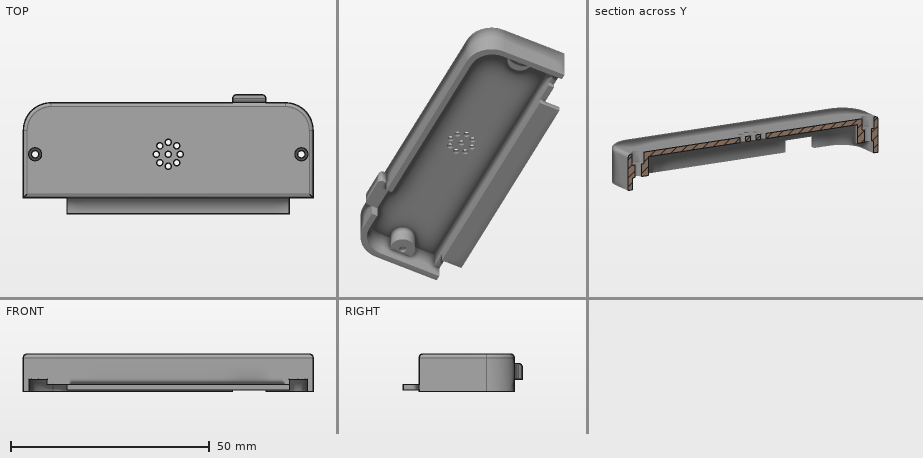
import cadquery as cq
import math

case_length = 73.0
case_depth = 24.0
case_height = 9.5
wall = 1.5
rear_corner_radius = 7.0
cavity_corner_radius = 6.0
top_edge_radius = 1.0
cavity_height = case_height - wall

notch_width = 4.5
notch_height = 3.1
slot_height = 1.8

plate_start = 11.0
plate_end = case_length - wall - notch_width
plate_thickness = 1.4
plate_reach = 4.0
plate_bottom = slot_height - plate_thickness

button_start = 52.7
button_width = 8.4
button_bottom = 3.1
button_height = 4.0
button_reach = 2.0
button_edge_radius = 1.0

hole_row_y = 11.0
screw_inset = 3.0
screw_diameter = 1.8
screw_head_diameter = 3.3
screw_head_depth = 3.0
post_diameter = screw_head_diameter + 2 * wall
post_bottom = notch_height

speaker_hole_diameter = 1.5
speaker_ring_radius = 3.0
speaker_ring_count = 8

screw_points = [(screw_inset, hole_row_y), (case_length - screw_inset, hole_row_y)]


def box(x_start, x_end, y_start, y_end, z_start, z_end):
    """Axis-aligned block between the given limits."""
    size = (x_end - x_start, y_end - y_start, z_end - z_start)
    return cq.Workplane("XY").box(*size, centered=False).translate((x_start, y_start, z_start))


def make_outer_block():
    """Full case block with round rear corners and a rounded top edge."""
    block = box(0, case_length, 0, case_depth, 0, case_height)
    block = block.edges("|Z and >Y").fillet(rear_corner_radius)
    return block.faces(">Z").edges().fillet(top_edge_radius)


def make_cavity():
    """Inside space, open at the bottom."""
    cavity = box(wall, case_length - wall, wall, case_depth - wall, 0, cavity_height)
    return cavity.edges("|Z and >Y").fillet(cavity_corner_radius)


def make_posts():
    """Screw posts hanging from the case top, trimmed to the case outline."""
    posts = (
        cq.Workplane("XY", origin=(0, 0, post_bottom))
        .pushPoints(screw_points)
        .circle(post_diameter / 2)
        .extrude(cavity_height - post_bottom)
    )
    return posts.intersect(make_outer_block())


def make_front_openings():
    """Low slot for the plate with a taller notch at each end."""
    left_notch_end = wall + notch_width
    right_notch_start = plate_end
    right_notch_end = case_length - wall
    left_notch = box(wall, left_notch_end, 0, wall, 0, notch_height)
    slot = box(left_notch_end, right_notch_start, 0, wall, 0, slot_height)
    right_notch = box(right_notch_start, right_notch_end, 0, wall, 0, notch_height)
    return left_notch.union(slot).union(right_notch)


def make_button_slot():
    """Rear wall slot below the button, open at the bottom."""
    return box(button_start, button_start + button_width, case_depth - wall, case_depth, 0, button_bottom)


def make_plate():
    """Flat plate running from the inner face of the front wall to in front of the case."""
    return box(plate_start, plate_end, -plate_reach, wall, plate_bottom, slot_height)


def make_button():
    """Button with rounded side and top edges on its outer face."""
    button = box(
        button_start,
        button_start + button_width,
        case_depth - wall,
        case_depth + button_reach,
        button_bottom,
        button_bottom + button_height,
    )
    return button.faces(">Y").edges("|Z or >Z").fillet(button_edge_radius)


def cut_screw_holes(body):
    """Through holes with a deep counterbore for the screw heads."""
    return (
        body.copyWorkplane(cq.Workplane("XY", origin=(0, 0, case_height)))
        .pushPoints(screw_points)
        .cboreHole(screw_diameter, screw_head_diameter, screw_head_depth, case_height)
    )


def cut_speaker_holes(body):
    """One centre hole and a ring of equal holes through the case top."""
    centre_x = case_length / 2
    points = [(centre_x, hole_row_y)]
    for index in range(speaker_ring_count):
        angle = 2 * math.pi * index / speaker_ring_count
        x = centre_x + speaker_ring_radius * math.cos(angle)
        y = hole_row_y + speaker_ring_radius * math.sin(angle)
        points.append((x, y))
    holes = (
        cq.Workplane("XY", origin=(0, 0, cavity_height))
        .pushPoints(points)
        .circle(speaker_hole_diameter / 2)
        .extrude(wall)
    )
    return body.cut(holes)


case = make_outer_block().cut(make_cavity()).union(make_posts())
case = case.cut(make_front_openings()).cut(make_button_slot())
case = cut_screw_holes(case)
case = cut_speaker_holes(case)

result = case.union(make_plate()).union(make_button())